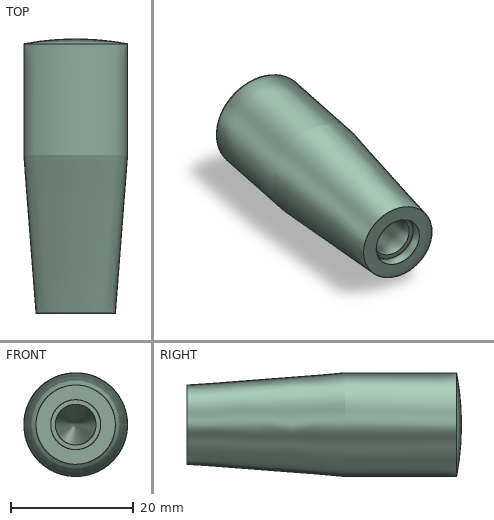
import cadquery as cq
import math

length = 45.0
grip_diameter = 17.0
tip_diameter = 13.0
taper_length = 25.9
dome_height = 0.8

counterbore_diameter = 8.2
counterbore_depth = 2.0
bore_diameter = 6.65
bore_depth = 18.0
drill_point_angle = 118.0

grip_radius = grip_diameter / 2
tip_radius = tip_diameter / 2
counterbore_radius = counterbore_diameter / 2
bore_radius = bore_diameter / 2
tip_y = -length / 2
dome_y = length / 2


def handle_body():
    """Tapered neck, cylindrical grip and shallow spherical end."""
    dome_base_y = dome_y - dome_height
    sphere_radius = (grip_radius**2 + dome_height**2) / (2 * dome_height)
    half_chord = grip_radius / 2
    half_chord_y = dome_y - sphere_radius + math.sqrt(sphere_radius**2 - half_chord**2)
    profile = (
        cq.Workplane("XY")
        .moveTo(0, tip_y)
        .lineTo(tip_radius, tip_y)
        .lineTo(grip_radius, tip_y + taper_length)
        .lineTo(grip_radius, dome_base_y)
        .threePointArc((half_chord, half_chord_y), (0, dome_y))
        .close()
    )
    return profile.revolve(360, (0, 0), (0, 1))


def stepped_bore():
    """Counterbore followed by a drilled hole with a conical bottom."""
    step_y = tip_y + counterbore_depth
    bore_end_y = tip_y + bore_depth
    cone_height = bore_radius / math.tan(math.radians(drill_point_angle / 2))
    profile = (
        cq.Workplane("XY")
        .moveTo(0, tip_y)
        .lineTo(counterbore_radius, tip_y)
        .lineTo(counterbore_radius, step_y)
        .lineTo(bore_radius, step_y)
        .lineTo(bore_radius, bore_end_y)
        .lineTo(0, bore_end_y + cone_height)
        .close()
    )
    return profile.revolve(360, (0, 0), (0, 1))


result = handle_body().cut(stepped_bore())